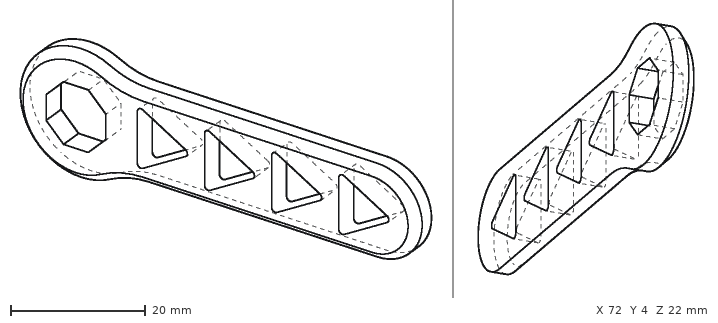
import cadquery as cq
import math

length = 72.0
thickness = 4.0
head_diameter = 21.95
handle_width = 16.0
neck_radius = 15.0
front_chamfer = 1.5

octagon_sides = 8
octagon_across_flats = 10.65

window_count = 4
window_pitch = 12.0
first_window_x = 11.0
window_side = 11.1
window_corner_radius = 0.65

head_radius = head_diameter / 2
handle_radius = handle_width / 2
handle_end_x = length - head_radius
handle_arc_x = handle_end_x - handle_radius

neck_center_z = handle_radius + neck_radius
neck_center_x = math.sqrt((head_radius + neck_radius) ** 2 - neck_center_z**2)


def point_on_head(sign):
    """Point where the blend meets the head, above (+1) or below (-1) the axis."""
    ratio = head_radius / (head_radius + neck_radius)
    return (neck_center_x * ratio, sign * neck_center_z * ratio)


def point_on_neck(sign):
    """Point halfway along the blend, above (+1) or below (-1) the axis."""
    start_angle = math.atan2(-neck_center_z, -neck_center_x)
    middle_angle = (start_angle - math.pi / 2) / 2
    x = neck_center_x + neck_radius * math.cos(middle_angle)
    z = neck_center_z + neck_radius * math.sin(middle_angle)
    return (x, sign * z)


def make_body():
    """Wrench outline with its front (-Y) rim chamfered."""
    outline = (
        cq.Workplane("XZ")
        .moveTo(*point_on_head(-1))
        .threePointArc((-head_radius, 0), point_on_head(1))
        .threePointArc(point_on_neck(1), (neck_center_x, handle_radius))
        .lineTo(handle_arc_x, handle_radius)
        .threePointArc((handle_end_x, 0), (handle_arc_x, -handle_radius))
        .lineTo(neck_center_x, -handle_radius)
        .threePointArc(point_on_neck(-1), point_on_head(-1))
        .close()
    )
    return outline.extrude(thickness).faces("<Y").chamfer(front_chamfer)


def make_octagon():
    """Through socket with flats facing +-X and +-Z."""
    corner_diameter = octagon_across_flats / math.cos(math.pi / octagon_sides)
    socket = cq.Workplane("XZ").polygon(octagon_sides, corner_diameter).extrude(thickness)
    return socket.rotate((0, 0, 0), (0, 1, 0), 180 / octagon_sides)


def make_window(left_x):
    """Through triangle with rounded corners, pointing to +X."""
    corner_radius = window_corner_radius
    core_side = window_side - 2 * math.sqrt(3) * corner_radius
    core_left_x = left_x + corner_radius
    core_tip_x = core_left_x + core_side * math.sqrt(3) / 2
    return (
        cq.Workplane("XZ")
        .moveTo(core_left_x, -core_side / 2)
        .lineTo(core_tip_x, 0)
        .lineTo(core_left_x, core_side / 2)
        .close()
        .offset2D(corner_radius)
        .extrude(thickness)
    )


result = make_body().cut(make_octagon())
for index in range(window_count):
    result = result.cut(make_window(first_window_x + index * window_pitch))